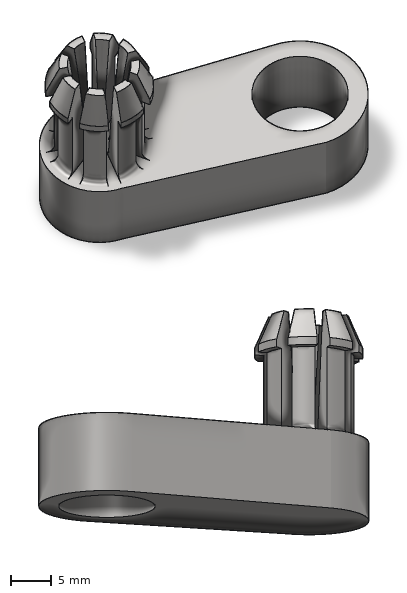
import cadquery as cq
import math

pin_end_radius = 7.5
ring_end_radius = 8.5
hole_radius = 6.0
ring_x = 2.05
ring_y = 26.3
plate_height = 10.0

total_height = 26.0
column_radius = 5.65
head_radius = 6.75
tip_radius = 5.05
head_height = 5.0
head_band_height = 1.0
root_fillet = 1.0

bore_top_radius = 3.97
bore_bottom_radius = 2.1

slot_count = 8
slot_first_angle = 6.0
slot_inner_width = 0.97
slot_outer_width = 1.7
slot_outer_radius = head_radius + 0.42


def link_plate():
    """Two half-round ends joined by straight sides, with a through hole."""
    return (
        cq.Workplane("XY")
        .moveTo(pin_end_radius, 0)
        .lineTo(ring_x + ring_end_radius, ring_y)
        .threePointArc((ring_x, ring_y + ring_end_radius), (ring_x - ring_end_radius, ring_y))
        .lineTo(-pin_end_radius, 0)
        .threePointArc((0, -pin_end_radius), (pin_end_radius, 0))
        .close()
        .extrude(plate_height)
        .cut(cq.Workplane("XY").center(ring_x, ring_y).circle(hole_radius).extrude(plate_height))
    )


def pin_body():
    """Hollow barbed pin with concave fillets at its root, inside and outside."""
    root_top = plate_height + root_fillet
    head_bottom = total_height - head_height
    arc_offset = root_fillet * (1 - math.sqrt(0.5))
    arc_height = plate_height + arc_offset
    return (
        cq.Workplane("XZ")
        .moveTo(bore_bottom_radius - root_fillet, plate_height)
        .lineTo(column_radius + root_fillet, plate_height)
        .threePointArc((column_radius + arc_offset, arc_height), (column_radius, root_top))
        .lineTo(column_radius, head_bottom)
        .lineTo(head_radius, head_bottom)
        .lineTo(head_radius, head_bottom + head_band_height)
        .lineTo(tip_radius, total_height)
        .lineTo(bore_top_radius, total_height)
        .lineTo(bore_bottom_radius, root_top)
        .threePointArc(
            (bore_bottom_radius - arc_offset, arc_height),
            (bore_bottom_radius - root_fillet, plate_height),
        )
        .close()
        .revolve(360, (0, 0, 0), (0, 1, 0))
    )


def slot(angle):
    """One radial slot, cut down to the top of the plate."""
    return (
        cq.Workplane("XY", origin=(0, 0, plate_height))
        .moveTo(0, -slot_inner_width / 2)
        .lineTo(slot_outer_radius, -slot_outer_width / 2)
        .lineTo(slot_outer_radius, slot_outer_width / 2)
        .lineTo(0, slot_inner_width / 2)
        .close()
        .extrude(total_height - plate_height)
        .rotate((0, 0, 0), (0, 0, 1), angle)
    )


pin = pin_body()
for index in range(slot_count):
    pin = pin.cut(slot(-slot_first_angle + index * 360 / slot_count))

result = link_plate().union(pin)